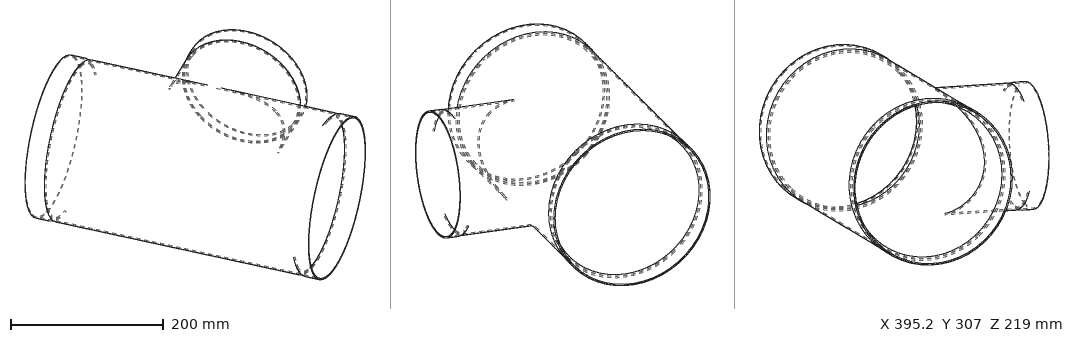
import cadquery as cq
import math

run_length = 395.2
run_collar_diameter = 219.0
run_body_diameter = 217.8
run_groove_diameter = 211.0
run_collar_length = 18.0
run_shoulder_radius = 6.0

branch_reach = 197.5
branch_collar_diameter = 168.5
branch_body_diameter = 167.0
branch_groove_diameter = 163.2
branch_collar_length = 15.5
branch_shoulder_radius = 4.5

wall = 2.0

root_radius = 1.0
body_shoulder_radius = 2.17
groove_floor_width = 0.8

outer_blend_radius = 6.0
inner_blend_radius = outer_blend_radius + wall


def point_on_arc(centre, radius, angle):
    """Point at an angle from the outward radial direction, positive along the pipe."""
    return (centre[0] + radius * math.sin(angle), centre[1] + radius * math.cos(angle))


def rolled_end(collar_diameter, body_diameter, groove_diameter, collar_length, shoulder_radius, inset):
    """Arcs of a rolled groove as (start, middle, end), each point (distance from open end, radius).

    Each side of the groove is a convex shoulder arc running tangentially into a concave root arc.
    An inset moves the whole curve inwards along its normal.
    """
    floor_radius = groove_diameter / 2

    collar_sum = shoulder_radius + root_radius
    collar_angle = math.acos(1 - (collar_diameter / 2 - floor_radius) / collar_sum)
    floor_start = collar_length + collar_sum * math.sin(collar_angle)
    collar_shoulder = (collar_length, collar_diameter / 2 - shoulder_radius)
    collar_root = (floor_start, floor_radius + root_radius)

    body_sum = body_shoulder_radius + root_radius
    body_angle = math.acos(1 - (body_diameter / 2 - floor_radius) / body_sum)
    floor_end = floor_start + groove_floor_width
    body_start = floor_end + body_sum * math.sin(body_angle)
    body_root = (floor_end, floor_radius + root_radius)
    body_shoulder = (body_start, body_diameter / 2 - body_shoulder_radius)

    half_turn = math.pi
    bends = [
        (collar_shoulder, shoulder_radius - inset, 0, collar_angle),
        (collar_root, root_radius + inset, half_turn + collar_angle, half_turn),
        (body_root, root_radius + inset, half_turn, half_turn - body_angle),
        (body_shoulder, body_shoulder_radius - inset, -body_angle, 0),
    ]
    return [
        tuple(point_on_arc(centre, radius, angle) for angle in (first, (first + last) / 2, last))
        for centre, radius, first, last in bends
    ]


def trace_groove(profile, arcs):
    """Continue a profile through the four arcs of a groove, crossing its floor in between."""
    for first, second in (arcs[:2], arcs[2:]):
        profile = profile.lineTo(*first[0]).threePointArc(*first[1:]).threePointArc(*second[1:])
    return profile


def run_solid(inset):
    """Filled run, its skin moved inwards by inset."""
    end_arcs = rolled_end(
        run_collar_diameter,
        run_body_diameter,
        run_groove_diameter,
        run_collar_length,
        run_shoulder_radius,
        inset,
    )
    half_length = run_length / 2
    collar_radius = run_collar_diameter / 2 - inset
    left_arcs = [[(distance - half_length, radius) for distance, radius in arc] for arc in end_arcs]
    right_arcs = [[(-x, radius) for x, radius in reversed(arc)] for arc in reversed(left_arcs)]
    profile = cq.Workplane("XY").moveTo(-half_length, 0).lineTo(-half_length, collar_radius)
    profile = trace_groove(profile, left_arcs)
    profile = trace_groove(profile, right_arcs)
    profile = profile.lineTo(half_length, collar_radius).lineTo(half_length, 0).close()
    return profile.revolve(360, (0, 0, 0), (1, 0, 0))


def branch_solid(inset):
    """Filled branch, its skin moved inwards by inset."""
    end_arcs = rolled_end(
        branch_collar_diameter,
        branch_body_diameter,
        branch_groove_diameter,
        branch_collar_length,
        branch_shoulder_radius,
        inset,
    )
    collar_radius = branch_collar_diameter / 2 - inset
    body_radius = branch_body_diameter / 2 - inset
    arcs = [[(radius, branch_reach - distance) for distance, radius in arc] for arc in end_arcs]
    profile = cq.Workplane("XY").moveTo(0, branch_reach).lineTo(collar_radius, branch_reach)
    profile = trace_groove(profile, arcs).lineTo(body_radius, 0).lineTo(0, 0).close()
    return profile.revolve(360, (0, 0, 0), (0, 1, 0))


def tee_solid(inset, blend_radius):
    """Run and branch joined, with the saddle-shaped junction edge rounded."""
    tee = run_solid(inset).union(branch_solid(inset))
    half_width = branch_collar_diameter / 2
    junction = cq.selectors.BoxSelector(
        (-half_width, 0, -half_width),
        (half_width, run_collar_diameter / 2, half_width),
        boundingbox=True,
    )
    return tee.edges(junction).fillet(blend_radius)


result = tee_solid(0, outer_blend_radius).cut(tee_solid(wall, inner_blend_radius))